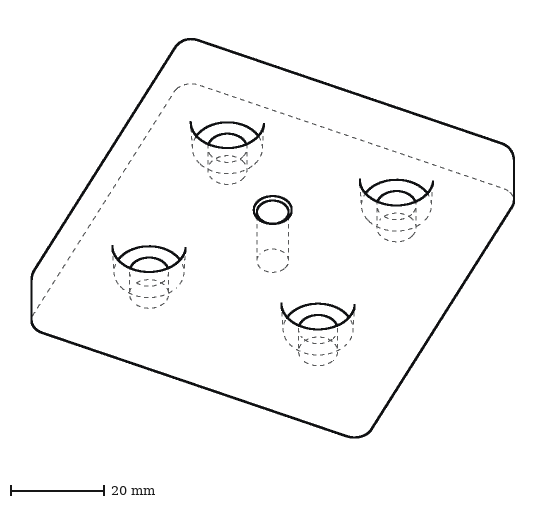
import cadquery as cq
import math

side = 80.0
thickness = 16.0
corner_radius = 4.0
top_face_side = 74.0
top_edge_radius = (side - top_face_side) / 2

hole_spacing = side / 2
hole_diameter = 8.4
counterbore_floor_diameter = 15.0
counterbore_depth = 9.0
counterbore_draft = 2.5
counterbore_edge_radius = 1.0

centre_hole_diameter = 6.8
centre_hole_chamfer = 0.68


def make_plate():
    """Plate standing on Z = 0 with round corners and a rounded top rim."""
    plate = cq.Workplane("XY").box(side, side, thickness, centered=(True, True, False))
    plate = plate.edges("|Z").fillet(corner_radius)
    return plate.faces(">Z").edges().fillet(top_edge_radius)


def make_centre_hole():
    """Solid of the centre hole, with a 45 degree chamfer at its mouth."""
    radius = centre_hole_diameter / 2
    shaft = cq.Workplane("XY").circle(radius).extrude(thickness)
    chamfer_cone = cq.Solid.makeCone(
        radius,
        radius + centre_hole_chamfer,
        centre_hole_chamfer,
        pnt=cq.Vector(0, 0, thickness - centre_hole_chamfer),
    )
    return shaft.union(cq.Workplane(chamfer_cone))


def make_mounting_hole():
    """Solid of a through hole under a counterbore that widens upward and has a round mouth edge."""
    floor_radius = counterbore_floor_diameter / 2
    floor_z = thickness - counterbore_depth
    slope = math.radians(counterbore_draft)

    arc_centre_z = thickness - counterbore_edge_radius
    wall_radius = floor_radius + (arc_centre_z - floor_z) * math.tan(slope)
    arc_centre_radius = wall_radius + counterbore_edge_radius / math.cos(slope)

    def arc_point(angle):
        return (
            arc_centre_radius - counterbore_edge_radius * math.cos(angle),
            arc_centre_z + counterbore_edge_radius * math.sin(angle),
        )

    arc_start = -slope
    arc_end = math.pi / 2
    profile = (
        cq.Workplane("XZ")
        .lineTo(hole_diameter / 2, 0)
        .lineTo(hole_diameter / 2, floor_z)
        .lineTo(floor_radius, floor_z)
        .lineTo(*arc_point(arc_start))
        .threePointArc(arc_point((arc_start + arc_end) / 2), arc_point(arc_end))
        .lineTo(0, thickness)
        .close()
    )
    return profile.revolve(360, (0, 0, 0), (0, 1, 0))


mounting_hole = make_mounting_hole()

result = make_plate().cut(make_centre_hole())
for x_sign in (-1, 1):
    for y_sign in (-1, 1):
        offset = (x_sign * hole_spacing / 2, y_sign * hole_spacing / 2, 0)
        result = result.cut(mounting_hole.translate(offset))